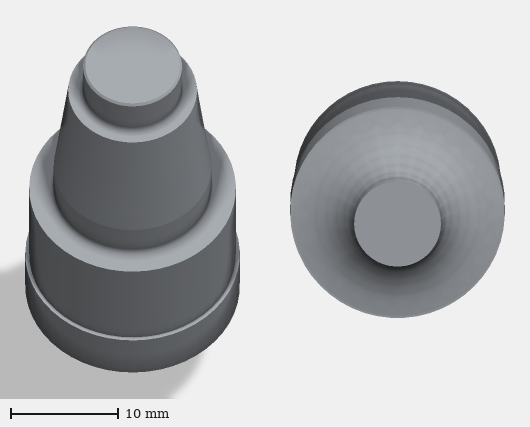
import cadquery as cq

total_height = 40.8
collar_bottom = 5.95
collar_top = 11.0
barrel_top = 21.38
taper_start = 24.8
taper_top = 36.8

collar_radius = 10.0
barrel_radius = 9.63
neck_radius = 7.35
taper_top_radius = 6.0
pin_radius = 4.6

neck_fillet = 0.4
pin_fillet = 0.5
pin_chamfer = 0.2

foot_end_radius = 4.05
waist_radius = 4.45
waist_height = 2.33
flare_mid_radius = 5.85
flare_mid_height = 4.3
flare_upper_radius = 7.65
flare_upper_height = 5.45
flare_top_radius = 9.8
flare_curve = [
    (waist_radius, waist_height),
    (flare_mid_radius, flare_mid_height),
    (flare_upper_radius, flare_upper_height),
    (flare_top_radius, collar_bottom),
]


def make_base():
    """Collar with its flared foot, turned about Z."""
    return (
        cq.Workplane("XZ")
        .lineTo(foot_end_radius, 0)
        .spline(flare_curve, includeCurrent=True)
        .lineTo(collar_radius, collar_bottom)
        .lineTo(collar_radius, collar_top)
        .lineTo(0, collar_top)
        .close()
        .revolve(360, (0, 0, 0), (0, 1, 0))
    )


def edge_at(radius, height):
    """Selector for the circular edge of a given radius at a given height."""
    tolerance = 0.05
    return cq.selectors.BoxSelector(
        (-radius - tolerance, -radius - tolerance, height - tolerance),
        (radius + tolerance, radius + tolerance, height + tolerance),
        boundingbox=True,
    )


def make_post():
    """Barrel, straight neck, taper and end pin, turned about Z; it stands on the collar."""
    post = (
        cq.Workplane("XZ")
        .moveTo(0, collar_top)
        .lineTo(barrel_radius, collar_top)
        .lineTo(barrel_radius, barrel_top)
        .lineTo(neck_radius, barrel_top)
        .lineTo(neck_radius, taper_start)
        .lineTo(taper_top_radius, taper_top)
        .lineTo(pin_radius, taper_top)
        .lineTo(pin_radius, total_height)
        .lineTo(0, total_height)
        .close()
        .revolve(360, (0, 0, 0), (0, 1, 0))
    )
    post = post.edges(edge_at(neck_radius, barrel_top)).fillet(neck_fillet)
    post = post.edges(edge_at(pin_radius, taper_top)).fillet(pin_fillet)
    return post.faces(">Z").edges().chamfer(pin_chamfer)


base = make_base()
post = make_post()

result = cq.Compound.makeCompound([base.val(), post.val()])